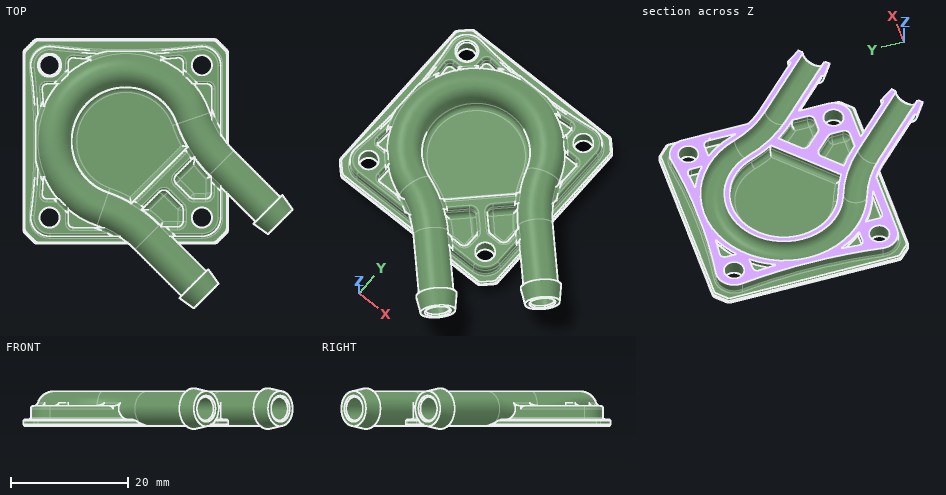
import cadquery as cq
import math

PLATE_SIDE = 35.0
PLATE_HEIGHT = 1.2
CORNER_CUT = 2.1
CORNER_ROUND = 1.0
PLATE_BEVEL = 0.3

HOLE_PITCH = 26.0
HOLE_HALF = HOLE_PITCH / 2
HOLE_DIAMETER = 3.4
MARKED_HOLE_DIAMETER = 4.0
BOSS_RADIUS = 3.2
BODY_HALF = HOLE_HALF + BOSS_RADIUS
BODY_TOP = 3.5
WALL_BOW = 0.85
BODY_TOP_FILLET = 0.5
BODY_BASE_FILLET = 0.3

TUBE_DIAMETER = 6.0
TUBE_RADIUS = TUBE_DIAMETER / 2
BORE_DIAMETER = 4.0
BORE_CHAMFER = 0.25
BARB_DIAMETER = 7.0
BARB_LENGTH = 3.0
LOOP_RADIUS = 12.2
BEND_RADIUS = 20.0
LEG_OFFSET = 8.95
LEG_REACH = 28.38
CORE_WIDTH = 2.0

RIM_WIDTH = 1.5
RIB_WIDTH = 2.0
CROSS_RIB_START = 8.15
SIDE_WEB_HALF = 6.0
LEG_POCKET_CORNER = 1.0
WALL_POCKET_CORNER = 0.8
LEG_POCKET_EDGE = 14.6
FLOOR_FILLET = 0.95
POCKET_HALF = BODY_HALF - RIM_WIDTH
BOSS_EDGE = HOLE_HALF - BOSS_RADIUS
FLOOR_BLEND = 0.9
TOP_BLEND = 0.7

FAR = 2 * PLATE_SIDE


def on_diagonal(along, across):
    """XY point from distances along and across the (+X, -Y) diagonal."""
    return ((along + across) / math.sqrt(2), (across - along) / math.sqrt(2))


def prism(points, bottom, top):
    return cq.Workplane("XY").workplane(offset=bottom).polyline(points).close().extrude(top - bottom)


def tube_path():
    """Centre line of the tube, from one leg end round the loop to the other."""
    bend_distance = LOOP_RADIUS + BEND_RADIUS
    bend_across = LEG_OFFSET + BEND_RADIUS
    turn = math.acos(bend_across / bend_distance)
    bend_along = bend_distance * math.sin(turn)

    def leg_points(side):
        end = on_diagonal(LEG_REACH, side * LEG_OFFSET)
        bend_start = on_diagonal(bend_along, side * LEG_OFFSET)
        bend_middle = on_diagonal(
            bend_along - BEND_RADIUS * math.sin(turn / 2),
            side * (bend_across - BEND_RADIUS * math.cos(turn / 2)),
        )
        bend_end = on_diagonal(LOOP_RADIUS * math.sin(turn), side * LOOP_RADIUS * math.cos(turn))
        return end, bend_start, bend_middle, bend_end

    first_end, first_start, first_middle, first_loop = leg_points(-1)
    last_end, last_start, last_middle, last_loop = leg_points(1)
    return (
        cq.Workplane("XY")
        .moveTo(*first_end)
        .lineTo(*first_start)
        .threePointArc(first_middle, first_loop)
        .threePointArc(on_diagonal(-LOOP_RADIUS, 0), last_loop)
        .threePointArc(last_middle, last_start)
        .lineTo(*last_end)
    )


def leg_end_plane(side, along, height):
    """Plane across a leg, facing its open end."""
    x, y = on_diagonal(along, side * LEG_OFFSET)
    outward = on_diagonal(1, 0)
    sideways = on_diagonal(0, 1)
    return cq.Plane(origin=(x, y, height), xDir=(*sideways, 0), normal=(*outward, 0))


def swept_disc(diameter):
    path = tube_path().translate((0, 0, TUBE_RADIUS))
    return cq.Workplane(leg_end_plane(-1, LEG_REACH, TUBE_RADIUS)).circle(diameter / 2).sweep(path)


def barb(side):
    return (
        cq.Workplane(leg_end_plane(side, LEG_REACH - BARB_LENGTH, TUBE_RADIUS))
        .circle(BARB_DIAMETER / 2)
        .workplane(offset=BARB_LENGTH)
        .circle(TUBE_RADIUS)
        .loft()
    )


def bore_chamfer(side):
    """Conical mouth of the bore at one leg end."""
    return (
        cq.Workplane(leg_end_plane(side, LEG_REACH, TUBE_RADIUS))
        .circle(BORE_DIAMETER / 2 + BORE_CHAMFER)
        .workplane(offset=-BORE_CHAMFER)
        .circle(BORE_DIAMETER / 2)
        .loft()
    )


def tube_blend(base, radius, skirt):
    """Concave fillets along both flanks of the tube above Z = base, on a skirt below it."""
    centre_drop = base + radius - TUBE_RADIUS
    reach = math.sqrt((TUBE_RADIUS + radius) ** 2 - centre_drop**2)
    shrink = TUBE_RADIUS / (TUBE_RADIUS + radius)
    contact = (reach * shrink, TUBE_RADIUS + centre_drop * shrink)
    foot_angle = 3 * math.pi / 2
    contact_angle = math.atan2(-centre_drop, -reach) % (2 * math.pi)
    middle_angle = (foot_angle + contact_angle) / 2
    middle = (reach + radius * math.cos(middle_angle), base + radius + radius * math.sin(middle_angle))
    return (
        cq.Workplane(leg_end_plane(-1, LEG_REACH, 0))
        .moveTo(-reach, base - skirt)
        .lineTo(reach, base - skirt)
        .lineTo(reach, base)
        .threePointArc(middle, contact)
        .lineTo(-contact[0], contact[1])
        .threePointArc((-middle[0], middle[1]), (-reach, base))
        .close()
        .sweep(tube_path())
    )


def tube_core():
    """Upright web inside the tube that the ribs and bosses run into."""
    middle = (PLATE_HEIGHT + BODY_TOP) / 2
    return (
        cq.Workplane(leg_end_plane(-1, LEG_REACH, middle))
        .rect(CORE_WIDTH, BODY_TOP - PLATE_HEIGHT)
        .sweep(tube_path().translate((0, 0, middle)))
    )


def inside_loop(bottom, top):
    """Everything between the two legs and inside the loop, out to the tube centre line."""
    return tube_path().close().extrude(top - bottom).translate((0, 0, bottom))


def body_block(inset, bottom, top):
    """Rounded square moved inwards: bowed -X and +Y walls, straight +X and -Y walls."""
    half = BODY_HALF - inset
    boss_radius = BOSS_RADIUS - inset
    bowed = half - WALL_BOW
    depth = HOLE_HALF - bowed
    bow_radius = (HOLE_HALF**2 + depth**2 - boss_radius**2) / (2 * (boss_radius + depth))
    bow_centre = bowed + bow_radius
    share = boss_radius / (bow_radius + boss_radius)
    tangent_far = HOLE_HALF * (1 - share)
    tangent_out = HOLE_HALF + (bow_centre - HOLE_HALF) * share
    blunt = HOLE_HALF + boss_radius / math.sqrt(2)
    return (
        cq.Workplane("XY", origin=(0, 0, bottom))
        .moveTo(HOLE_HALF, -half)
        .threePointArc((blunt, -blunt), (half, -HOLE_HALF))
        .lineTo(half, HOLE_HALF)
        .threePointArc((blunt, blunt), (tangent_far, tangent_out))
        .threePointArc((0, bowed), (-tangent_far, tangent_out))
        .threePointArc((-blunt, blunt), (-tangent_out, tangent_far))
        .threePointArc((-bowed, 0), (-tangent_out, -tangent_far))
        .threePointArc((-blunt, -blunt), (-HOLE_HALF, -half))
        .close()
        .extrude(top - bottom)
    )


def flange_plate():
    plate = cq.Workplane("XY").rect(PLATE_SIDE, PLATE_SIDE).extrude(PLATE_HEIGHT)
    plate = plate.edges("|Z").chamfer(CORNER_CUT).edges("|Z").fillet(CORNER_ROUND)
    return plate.faces("<Z or >Z").edges().chamfer(PLATE_BEVEL)


def solid_housing():
    """Plate and body in one piece, with the concave fillet at the foot of the body walls."""
    housing = flange_plate().union(body_block(0, PLATE_HEIGHT, BODY_TOP))
    ledge = housing.faces("+Z").faces("<Z")
    return housing.newObject(ledge.val().innerWires()[0].Edges()).fillet(BODY_BASE_FILLET)


def centre_recess():
    """Recess inside the loop, ending at the filleted foot of the cross rib."""
    near_side = prism(
        [
            on_diagonal(-FAR, -FAR),
            on_diagonal(CROSS_RIB_START, -FAR),
            on_diagonal(CROSS_RIB_START, FAR),
            on_diagonal(-FAR, FAR),
        ],
        PLATE_HEIGHT,
        BODY_TOP,
    )
    rib_foot = (*on_diagonal(CROSS_RIB_START, 0), PLATE_HEIGHT)
    near_side = near_side.edges(cq.selectors.NearestToPointSelector(rib_foot)).fillet(FLOOR_FILLET)
    return near_side.intersect(inside_loop(PLATE_HEIGHT, BODY_TOP))


def leg_pocket():
    """Five-sided pocket between the +X, +Y leg, the ribs and the screw boss at (+X, -Y)."""
    rib_along = CROSS_RIB_START + RIB_WIDTH
    rib_across = RIB_WIDTH / 2
    pocket = prism(
        [
            on_diagonal(rib_along, rib_across),
            (BOSS_EDGE + rib_across * math.sqrt(2), -BOSS_EDGE),
            (LEG_POCKET_EDGE, -BOSS_EDGE),
            (LEG_POCKET_EDGE, LEG_OFFSET * math.sqrt(2) - LEG_POCKET_EDGE),
            on_diagonal(rib_along, LEG_OFFSET),
        ],
        PLATE_HEIGHT,
        BODY_TOP,
    )
    return pocket.edges("|Z").fillet(LEG_POCKET_CORNER).faces("<Z").edges().fillet(FLOOR_FILLET)


def bowed_wall_pocket(side):
    """Pocket along the +Y wall, between the loop, a screw boss and the middle web."""
    middle = side * (BOSS_EDGE + SIDE_WEB_HALF) / 2
    beyond_tube = [(-FAR, LEG_OFFSET), (FAR, LEG_OFFSET), (FAR, FAR), (-FAR, FAR)]
    pocket = (
        cq.Workplane("XY", origin=(middle, 0, PLATE_HEIGHT))
        .rect(BOSS_EDGE - SIDE_WEB_HALF, FAR)
        .extrude(BODY_TOP - PLATE_HEIGHT)
        .intersect(body_block(RIM_WIDTH, PLATE_HEIGHT, BODY_TOP))
        .intersect(prism(beyond_tube, PLATE_HEIGHT, BODY_TOP))
    )
    return pocket.edges("|Z and >Y").fillet(WALL_POCKET_CORNER)


def straight_wall_pocket():
    """Pocket along the -Y wall, from the (-X, -Y) screw boss until the tube closes it."""
    tube_crossing = BODY_HALF - LEG_OFFSET
    pocket = prism(
        [
            (-BOSS_EDGE, -POCKET_HALF),
            (tube_crossing, -POCKET_HALF),
            (tube_crossing, -LEG_OFFSET),
            (-BOSS_EDGE, -LEG_OFFSET),
        ],
        PLATE_HEIGHT,
        BODY_TOP,
    )
    pocket = pocket.edges("|Z and <X").fillet(WALL_POCKET_CORNER)
    return pocket.cut(inside_loop(PLATE_HEIGHT, BODY_TOP))


def with_mirror_image(shape):
    """The shape and its mirror image in the upright plane through the (+X, -Y) diagonal."""
    return [shape, shape.mirror(cq.Vector(1, 1, 0))]


def pocketed_housing():
    """Housing with all pockets cut, the top edges still sharp."""
    housing = solid_housing().cut(centre_recess())
    pockets = [leg_pocket(), bowed_wall_pocket(-1), bowed_wall_pocket(1), straight_wall_pocket()]
    for pocket in pockets:
        for copy in with_mirror_image(pocket):
            housing = housing.cut(copy)
    return housing.union(tube_core())


def round_top_edges(housing):
    """Round the top edges of the body that the tube does not cover."""
    tube = swept_disc(TUBE_DIAMETER).val()
    open_edges = [
        edge for edge in housing.faces(">Z").edges().vals() if not tube.isInside(edge.positionAt(0.5))
    ]
    return housing.newObject(open_edges).fillet(BODY_TOP_FILLET)


def top_blend(housing):
    """Tube-to-body fillet, standing on the sharp-edged top of the body."""
    top_face = housing.faces(">Z").val().translate(cq.Vector(0, 0, -BODY_TOP_FILLET))
    height = BODY_TOP_FILLET + TOP_BLEND
    land = cq.Workplane(cq.Solid.extrudeLinear(top_face, cq.Vector(0, 0, height)))
    return tube_blend(BODY_TOP, TOP_BLEND, BODY_TOP_FILLET).intersect(land)


def floor_blend():
    """Tube-to-plate fillet inside the loop and in the leg pockets."""
    blend = tube_blend(PLATE_HEIGHT, FLOOR_BLEND, PLATE_HEIGHT / 2)
    blend = blend.intersect(inside_loop(PLATE_HEIGHT, BODY_TOP))
    return blend.intersect(body_block(0, PLATE_HEIGHT, BODY_TOP))


def screw_holes():
    corners = [(x * HOLE_HALF, y * HOLE_HALF) for x in (-1, 1) for y in (-1, 1)]
    return cq.Workplane("XY").pushPoints(corners).circle(HOLE_DIAMETER / 2).extrude(FAR)


def marked_hole_chamfer():
    """Conical mouth of the (-X, +Y) screw hole."""
    depth = (MARKED_HOLE_DIAMETER - HOLE_DIAMETER) / 2
    return (
        cq.Workplane("XY", origin=(-HOLE_HALF, HOLE_HALF, BODY_TOP))
        .circle(MARKED_HOLE_DIAMETER / 2)
        .workplane(offset=-depth)
        .circle(HOLE_DIAMETER / 2)
        .loft()
    )


sharp_housing = pocketed_housing()
result = round_top_edges(sharp_housing)
result = result.union(floor_blend())
result = result.union(top_blend(sharp_housing))
result = result.union(swept_disc(TUBE_DIAMETER))
for leg_side in (-1, 1):
    result = result.union(barb(leg_side))
result = result.cut(swept_disc(BORE_DIAMETER))
for leg_side in (-1, 1):
    result = result.cut(bore_chamfer(leg_side))
result = result.cut(screw_holes()).cut(marked_hole_chamfer())